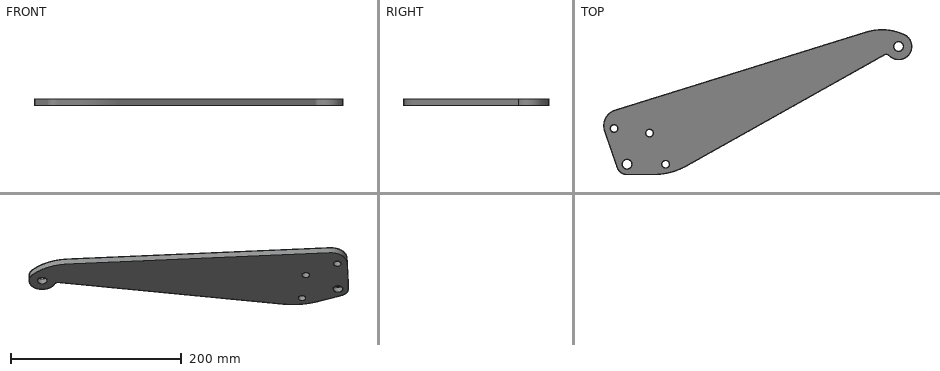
import cadquery as cq
import math

length = 361.5
width = 170.2
thickness = 8.0

base_radius = 12.3
heel_radius = 19.0
crown_radius = 61.5
tip_radius = 15.5
notch_radius = 4.5
belly_radius = 79.5

large_hole_diameter = 11.2
small_hole_diameter = 8.5
small_hole_centers = [(-15.0, 42.0), (26.5, 36.5), (45.0, 0)]

left_edge = -27.5
right_edge = left_edge + length
bottom_edge = -base_radius
top_edge = bottom_edge + width

base_center = (0, 0)
heel_center = (left_edge + heel_radius, 45.0)
tip_center = (right_edge - tip_radius, 138.0)
belly_center = (30.7, bottom_edge + belly_radius)

crown_y = top_edge - crown_radius
crown_to_tip_y = tip_center[1] - crown_y
crown_to_tip_x = math.sqrt((crown_radius - tip_radius) ** 2 - crown_to_tip_y**2)
crown_center = (tip_center[0] - crown_to_tip_x, crown_y)

lower_edge_angle = math.radians(29.3)


def on_circle(center, radius, angle):
    """Point on a circle at an angle in radians."""
    return (center[0] + radius * math.cos(angle), center[1] + radius * math.sin(angle))


def direction(start, end):
    """Angle of the direction from start to end."""
    return math.atan2(end[1] - start[1], end[0] - start[0])


def tangent_normal(start, start_radius, end, end_radius):
    """Angle of the normal to the common tangent on the left of two circles."""
    lean = math.acos((start_radius - end_radius) / math.dist(start, end))
    return direction(start, end) + lean


def add_arc(outline, center, radius, start_angle, end_angle):
    """Continue the outline along an arc from its current point."""
    middle = on_circle(center, radius, (start_angle + end_angle) / 2)
    return outline.threePointArc(middle, on_circle(center, radius, end_angle))


down = -math.pi / 2
lower_normal = lower_edge_angle + down
top_normal = tangent_normal(heel_center, heel_radius, crown_center, crown_radius)
left_normal = tangent_normal(base_center, base_radius, heel_center, heel_radius)

edge_x = math.cos(lower_edge_angle)
edge_y = math.sin(lower_edge_angle)
tip_from_belly = (tip_center[0] - belly_center[0], tip_center[1] - belly_center[1])
tip_along_edge = tip_from_belly[0] * edge_x + tip_from_belly[1] * edge_y
tip_outward = tip_from_belly[0] * edge_y - tip_from_belly[1] * edge_x
notch_outward = belly_radius + notch_radius
notch_before_tip = math.sqrt((tip_radius + notch_radius) ** 2 - (notch_outward - tip_outward) ** 2)
notch_along_edge = tip_along_edge - notch_before_tip
notch_center = (
    belly_center[0] + notch_along_edge * edge_x + notch_outward * edge_y,
    belly_center[1] + notch_along_edge * edge_y - notch_outward * edge_x,
)
notch_to_tip = direction(notch_center, tip_center)
tip_to_notch = notch_to_tip - math.pi
crown_to_tip = direction(crown_center, tip_center)


def make_plate():
    """Outline followed counter-clockwise from the flat bottom edge."""
    outline = cq.Workplane("XY").moveTo(base_center[0], bottom_edge)
    outline = outline.lineTo(belly_center[0], bottom_edge)
    outline = add_arc(outline, belly_center, belly_radius, down, lower_normal)
    outline = outline.lineTo(*on_circle(notch_center, notch_radius, lower_normal + math.pi))
    outline = add_arc(outline, notch_center, notch_radius, lower_normal + math.pi, notch_to_tip)
    outline = add_arc(outline, tip_center, tip_radius, tip_to_notch, crown_to_tip)
    outline = add_arc(outline, crown_center, crown_radius, crown_to_tip, top_normal)
    outline = outline.lineTo(*on_circle(heel_center, heel_radius, top_normal))
    outline = add_arc(outline, heel_center, heel_radius, top_normal, left_normal)
    outline = outline.lineTo(*on_circle(base_center, base_radius, left_normal))
    outline = add_arc(outline, base_center, base_radius, left_normal, down + 2 * math.pi)
    return outline.close().extrude(thickness)


def make_holes(centers, diameter):
    """Cylinders passing through the whole plate."""
    return cq.Workplane("XY").pushPoints(centers).circle(diameter / 2).extrude(thickness)


plate = make_plate()
plate = plate.cut(make_holes([base_center, tip_center], large_hole_diameter))
result = plate.cut(make_holes(small_hole_centers, small_hole_diameter))